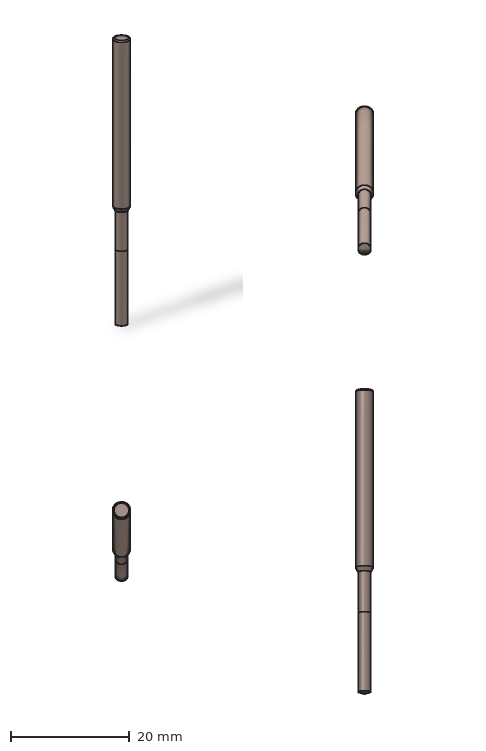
import cadquery as cq
import math

total_length = 52.0
shank_radius = 1.5
neck_radius = 1.1
end_chamfer = 0.25
shoulder_top = 21.7
shoulder_bottom = 20.9
joint_height = 13.9
point_angle = 140.0

point_height = neck_radius / math.tan(math.radians(point_angle / 2))


def revolve_profile(points):
    """Revolve a closed (radius, height) outline about Z."""
    profile = cq.Workplane("XZ").polyline(points).close()
    return profile.revolve(360, (0, 0, 0), (0, 1, 0))


def make_holder():
    """Chamfered shank that tapers through a conical shoulder to the neck."""
    return revolve_profile([
        (0, joint_height),
        (neck_radius, joint_height),
        (neck_radius, shoulder_bottom),
        (shank_radius, shoulder_top),
        (shank_radius, total_length - end_chamfer),
        (shank_radius - end_chamfer, total_length),
        (0, total_length),
    ])


def make_cutting_head():
    """Cylindrical head with a conical drill point."""
    return revolve_profile([
        (0, 0),
        (neck_radius, point_height),
        (neck_radius, joint_height),
        (0, joint_height),
    ])


holder = make_holder()
cutting_head = make_cutting_head()

result = cq.Compound.makeCompound([holder.val(), cutting_head.val()])